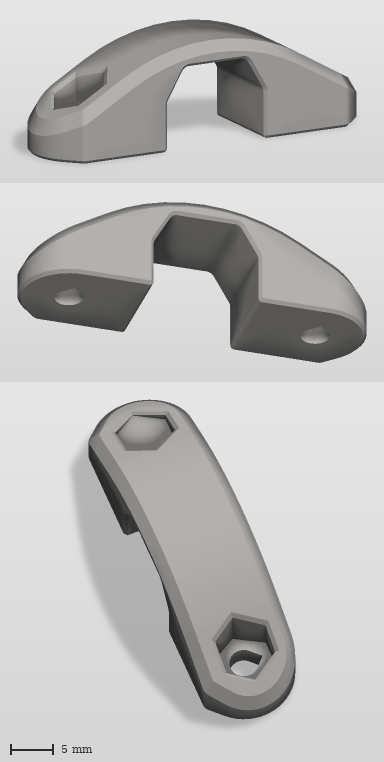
import cadquery as cq
import math

half_width = 6.0
length = 42.0
height = 12.5
hole_offset = length / 2 - half_width
run_out_angle = 45
corner_y = hole_offset + half_width * math.tan(math.radians(run_out_angle / 2))

crown_radius = 23.35
slope_angle = math.radians(30)

opening_half_width = 6.4
opening_height = 10.0
opening_wall_height = 6.0
opening_lean = math.radians(30)

top_chamfer = 1.2
small_chamfer = 0.38
side_fillet = 1.0
foot_fillet = 0.5
opening_fillet = 1.0

hole_radius = 1.7
pocket_half_length = 3.35
pocket_right = 2.9
pocket_left = 3.35
pocket_chamfer = 0.4
pocket_floor = 3.0
plug_top = 5.0
hex_slope = math.tan(math.radians(30))

top_face_normal = math.cos(math.radians(40))
margin = 0.2


def make_footprint():
    """Prism over a stadium along Y whose rounded ends run out at 45 degrees to the flat +X side."""

    def end_point(side, degrees):
        """Point on the rounded end at +Y (side 1) or -Y (side -1)."""
        angle = math.radians(degrees)
        return half_width * math.cos(angle), side * (hole_offset + half_width * math.sin(angle))

    return (
        cq.Workplane("XY")
        .moveTo(half_width, -corner_y)
        .lineTo(half_width, corner_y)
        .lineTo(*end_point(1, run_out_angle))
        .threePointArc(end_point(1, 90), end_point(1, 180))
        .lineTo(*end_point(-1, 180))
        .threePointArc(end_point(-1, 90), end_point(-1, run_out_angle))
        .close()
        .extrude(height)
    )


def make_arch():
    """Side profile of the clamp, without its opening, across the full width."""
    tangent_y = crown_radius * math.sin(slope_angle)
    tangent_z = height - crown_radius * (1 - math.cos(slope_angle))
    end_y = length / 2 + margin
    end_z = tangent_z - (end_y - tangent_y) * math.tan(slope_angle)
    return (
        cq.Workplane("YZ")
        .moveTo(-end_y, 0)
        .lineTo(end_y, 0)
        .lineTo(end_y, end_z)
        .lineTo(tangent_y, tangent_z)
        .threePointArc((0, height), (-tangent_y, tangent_z))
        .lineTo(-end_y, end_z)
        .close()
        .extrude(half_width + margin, both=True)
    )


def make_opening():
    """Prism that clears the strapped object, with its roof corners rounded."""
    roof_half_width = opening_half_width - (opening_height - opening_wall_height) * math.tan(opening_lean)
    return (
        cq.Workplane("YZ")
        .moveTo(-opening_half_width, 0)
        .lineTo(opening_half_width, 0)
        .lineTo(opening_half_width, opening_wall_height)
        .lineTo(roof_half_width, opening_height)
        .lineTo(-roof_half_width, opening_height)
        .lineTo(-opening_half_width, opening_wall_height)
        .close()
        .extrude(half_width + margin, both=True)
        .edges("|X and (not <Z)")
        .fillet(opening_fillet)
    )


def make_hexagon(y, bottom, top):
    """Hexagonal prism with points along Y, stretched toward -X."""
    right_half = pocket_half_length - pocket_right * hex_slope
    left_half = pocket_half_length - pocket_left * hex_slope
    return (
        cq.Workplane("XY", origin=(0, y, bottom))
        .polyline(
            [
                (0, pocket_half_length),
                (pocket_right, right_half),
                (pocket_right, -right_half),
                (0, -pocket_half_length),
                (-pocket_left, -left_half),
                (-pocket_left, left_half),
            ]
        )
        .close()
        .extrude(top - bottom)
    )


def make_screw_hole(y):
    """Teardrop through hole pointing toward -X."""
    tangent = hole_radius * math.sqrt(0.5)
    tip = hole_radius * math.sqrt(2)
    return (
        cq.Workplane("XY", origin=(0, y, 0))
        .moveTo(-tip, 0)
        .lineTo(-tangent, tangent)
        .threePointArc((hole_radius, 0), (-tangent, -tangent))
        .close()
        .extrude(height)
    )


def centred_box(half_x, half_y, bottom, top, y=0):
    """Selector for items whose centre lies in a box about (0, y)."""
    return cq.selectors.BoxSelector((-half_x, y - half_y, bottom), (half_x, y + half_y, top))


def border_edges(faces):
    """Edges around a group of adjoining faces, leaving out the edges shared within the group."""
    edges = [edge for face in faces.vals() for edge in face.Edges()]
    return faces.newObject([edge for edge in edges if sum(edge.isSame(other) for other in edges) == 1])


def top_faces(body):
    """Faces above the plug level that look mostly upward: the crown and both slopes."""
    faces = body.faces().vals()
    upward = [face for face in faces if face.normalAt().z > top_face_normal]
    return body.newObject([face for face in upward if face.Center().z > plug_top])


def round_side_corners(arch):
    """Fillet the two corners of the +X side, both the upright edge and the edge across the chamfer."""
    corner_reach = top_chamfer / 4
    for y in (-corner_y, corner_y):
        corner_edges = cq.selectors.BoxSelector(
            (half_width - top_chamfer, y - corner_reach, 0),
            (half_width + margin, y + corner_reach, height),
        )
        arch = arch.edges(corner_edges).fillet(side_fillet)
    return arch


def make_blank():
    """Solid clamp with its opening and all outer edges finished, before the holes are cut."""
    arch = make_footprint().intersect(make_arch())
    arch = border_edges(top_faces(arch)).chamfer(top_chamfer)
    arch = round_side_corners(arch)

    blank = arch.cut(make_opening())
    inner_reach = opening_half_width + foot_fillet
    feet_corners = centred_box(margin, inner_reach, -margin, margin)
    blank = blank.edges(feet_corners).fillet(foot_fillet)

    opening_faces = blank.faces(centred_box(margin, inner_reach, -margin, opening_height + margin))
    underside = opening_faces.add(blank.faces("<Z"))
    return border_edges(underside).chamfer(small_chamfer)


def make_bracket():
    """Clamp with a chamfered hexagonal pocket and a teardrop screw hole at each end."""
    bracket = make_blank()
    for y in (-hole_offset, hole_offset):
        bracket = bracket.cut(make_hexagon(y, pocket_floor, height)).cut(make_screw_hole(y))
        rim = border_edges(top_faces(bracket))
        mouth = centred_box(pocket_left + margin, pocket_half_length, plug_top, height, y)
        bracket = rim.edges(mouth).chamfer(pocket_chamfer)
    return bracket


def make_plug():
    """Hexagonal plug filling the lower part of the -Y pocket."""
    return make_hexagon(-hole_offset, pocket_floor, plug_top)


bracket = make_bracket()
plug = make_plug()
result = cq.Compound.makeCompound([bracket.val(), plug.val()])